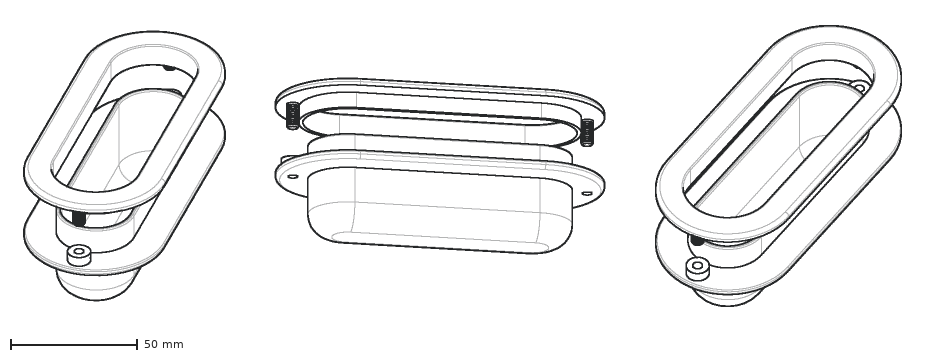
import cadquery as cq
LENGTH = 131.8
WIDTH = 57.2
STRAIGHT = LENGTH - WIDTH
FLANGE_THICKNESS = 3.2
FLANGE_ROUND = 1.6
EDGE_ROUND = 0.5

CUP_WIDTH = 31.6
CUP_HEIGHT = 38.0
CUP_WALL = 1.6
CUP_FLOOR_ROUND = 9.5
TRAY_FLANGE_BOTTOM = 23.9
TRAY_FLANGE_TOP = TRAY_FLANGE_BOTTOM + FLANGE_THICKNESS

SCREW_POSITIONS = [(0, -59.3), (0, 59.3)]
BOSS_DIAMETER = 9.2
BOSS_HEIGHT = 4.1
BORE_DIAMETER = 3.8
SCREW_DIAMETER = 5.0
SCREW_ROOT_DIAMETER = 3.8
SCREW_LENGTH = 9.9
THREAD_COUNT = 11

CAP_TOP = 57.2
CAP_FLANGE_BOTTOM = CAP_TOP - FLANGE_THICKNESS
OPENING_WIDTH = 35.3
SKIRT_WIDTH = 38.7
SKIRT_DEPTH = 6.3


def slot_block(width, bottom, top):
    """Vertical block with a slot outline; every slot shares the same end-arc centres."""
    return (
        cq.Workplane("XY", origin=(0, 0, bottom))
        .slot2D(STRAIGHT + width, width, 90)
        .extrude(top - bottom)
    )


def make_cup_block():
    return slot_block(CUP_WIDTH, 0, CUP_HEIGHT).faces("<Z").edges().fillet(CUP_FLOOR_ROUND)


def make_cup_cavity():
    cavity = slot_block(CUP_WIDTH - 2 * CUP_WALL, CUP_WALL, CUP_HEIGHT)
    return cavity.faces("<Z").edges().fillet(CUP_FLOOR_ROUND - CUP_WALL)


def make_tray():
    flange = slot_block(WIDTH, TRAY_FLANGE_BOTTOM, TRAY_FLANGE_TOP)
    flange = flange.faces("<Z").edges().fillet(FLANGE_ROUND)
    flange = flange.faces(">Z").edges().fillet(EDGE_ROUND)
    bosses = (
        cq.Workplane("XY", origin=(0, 0, TRAY_FLANGE_TOP))
        .pushPoints(SCREW_POSITIONS)
        .circle(BOSS_DIAMETER / 2)
        .extrude(BOSS_HEIGHT)
    )
    bores = (
        cq.Workplane("XY", origin=(0, 0, TRAY_FLANGE_BOTTOM))
        .pushPoints(SCREW_POSITIONS)
        .circle(BORE_DIAMETER / 2)
        .extrude(FLANGE_THICKNESS + BOSS_HEIGHT)
    )
    tray = make_cup_block().union(flange).union(bosses)
    tray = tray.cut(make_cup_cavity()).cut(bores)
    return tray.faces(">Z").edges().fillet(EDGE_ROUND)


def make_screw():
    """Screw pointing down from Z = 0, its thread a stack of cones that narrow downwards."""
    root = SCREW_ROOT_DIAMETER / 2
    crest = SCREW_DIAMETER / 2
    pitch = SCREW_LENGTH / THREAD_COUNT
    outline = [(0, 0)]
    for thread in range(THREAD_COUNT):
        outline.append((crest, -thread * pitch))
        outline.append((root, -(thread + 1) * pitch))
    outline.append((0, -SCREW_LENGTH))
    return cq.Workplane("XZ").polyline(outline).close().revolve(360, (0, 0), (0, 1))


def make_cap():
    flange = slot_block(WIDTH, CAP_FLANGE_BOTTOM, CAP_TOP)
    flange = flange.faces(">Z").edges().fillet(FLANGE_ROUND)
    skirt_bottom = CAP_FLANGE_BOTTOM - SKIRT_DEPTH
    skirt = slot_block(SKIRT_WIDTH, skirt_bottom, CAP_FLANGE_BOTTOM)
    opening = slot_block(OPENING_WIDTH, skirt_bottom, CAP_TOP)
    opening_edge = cq.selectors.BoxSelector(
        (-SKIRT_WIDTH / 2, -(STRAIGHT + SKIRT_WIDTH) / 2, CAP_TOP - EDGE_ROUND),
        (SKIRT_WIDTH / 2, (STRAIGHT + SKIRT_WIDTH) / 2, CAP_TOP + EDGE_ROUND),
    )
    cap = flange.union(skirt).cut(opening).edges(opening_edge).fillet(EDGE_ROUND)
    screw = make_screw()
    for x, y in SCREW_POSITIONS:
        cap = cap.union(screw.translate((x, y, CAP_FLANGE_BOTTOM)))
    return cap


tray = make_tray()
cap = make_cap()

result = cq.Compound.makeCompound([tray.val(), cap.val()])